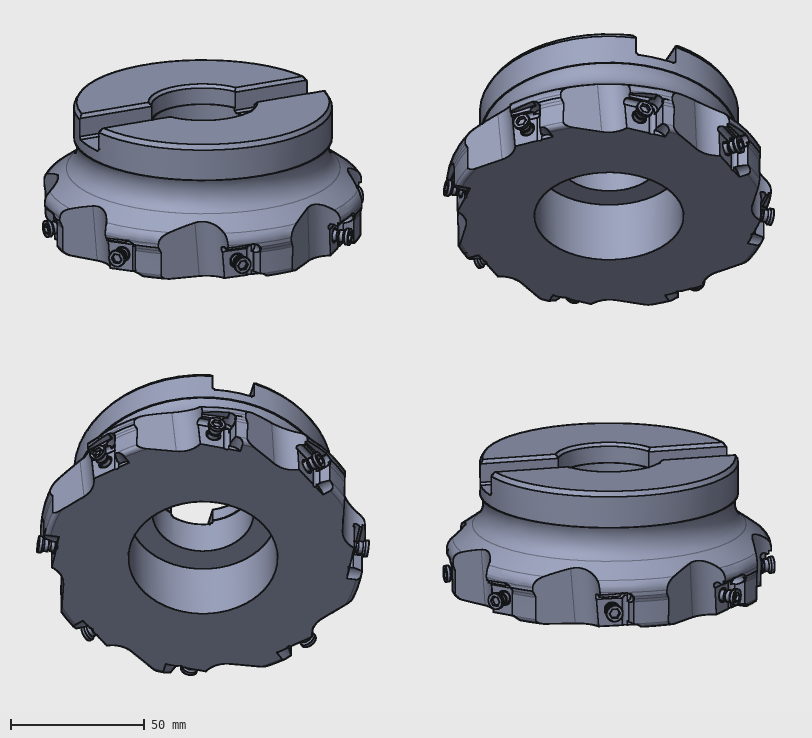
import cadquery as cq
import math

height = 50.1
hub_radius = 48.5
hub_bottom_z = 36.1
hub_rim_width = 1.1
hub_rim_drop = hub_rim_width * math.tan(math.radians(60))
neck_radius = 47.3
neck_arc_radius = 10.0
neck_z = 32.1
cone_angle = math.radians(36)
flange_radius = 60.94
shoulder_round = 5.2
flange_bottom_z = 12.9
ledge_radius = 60.6
ledge_z = 11.7
land_radius = 60.3
land_top_z = 10.5
land_bottom_round = 1.9

bore_radius = 19.05
pilot_radius = 19.3
pilot_bottom_z = 42.5
pilot_chamfer = 1.2
recess_radius = 28.0
recess_top_z = 25.4
slot_width = 16.0
slot_floor_z = 40.6
slot_rim_width = 1.1
slot_rim_drop = 1.4
slot_floor_chamfer = 0.9

half_turn_angles = [45.1, 90.1, 130.4, 176.2]
tooth_angles = [angle + turn for turn in (0, 180) for angle in half_turn_angles]

gullet_center = (59.1, -25.3)
gullet_radius = 10.0
gullet_floor_angle = math.radians(7)
gullet_reach = 18.0
gullet_lean = 4.6
gullet_lean_z = 19.0
gullet_cut_height = 60.0

pocket_floor = 55.0
pocket_start = -22.0
pocket_top_z = 12.2
pocket_outer = 66.0
wall_y = -4.0
wall_outer_y = -0.3
ceiling_relief_start = 58.1
ceiling_relief_low_z = 12.8
ceiling_relief_high_z = 14.2
groove_radius = 1.3
groove_z = 11.6
groove_y = -4.6
groove_floor = 54.6
corner_radius = 2.5
corner_y = -4.8
corner_z = 11.4
foot_radius = 4.0
foot_y = -2.5
foot_z = -2.2

screw_y = -9.6
screw_z = 6.4
screw_tip = 46.0
shank_radius = 2.1
shank_end = 56.4
neck_end = 57.3
screw_neck_radius = 1.6
collar_radius = 2.35
collar_end = 59.0
head_radius = 3.1
head_start = 59.8
head_end = 61.04
socket_radius = 2.0
socket_depth = 1.3
socket_sides = 6
sink_radius = 2.8
sink_depth = 0.7


def place_on_tooth(shape, angle):
    return shape.rotate((0, 0, 0), (0, 0, 1), angle)


def rod(radius, start, end, y, z):
    """Cylinder along the tooth frame's x direction."""
    return cq.Workplane("YZ", origin=(start, y, z)).circle(radius).extrude(end - start)


def disc(radius, bottom_z, top_z):
    return cq.Workplane("XY").workplane(offset=bottom_z).circle(radius).extrude(top_z - bottom_z)


def make_blank():
    sin_cone = math.sin(cone_angle)
    cos_cone = math.cos(cone_angle)
    neck_center_r = neck_radius + neck_arc_radius
    neck_top_r = neck_center_r - math.sqrt(neck_arc_radius**2 - (hub_bottom_z - neck_z) ** 2)
    cone_top_r = neck_center_r - neck_arc_radius * sin_cone
    cone_top_z = neck_z - neck_arc_radius * cos_cone
    round_center_r = flange_radius - shoulder_round
    cone_end_r = round_center_r + shoulder_round * sin_cone
    cone_end_z = cone_top_z - (cone_end_r - cone_top_r) * math.tan(cone_angle)
    round_center_z = cone_end_z - shoulder_round * cos_cone
    mid_angle = (math.pi / 2 - cone_angle) / 2
    round_mid = (
        round_center_r + shoulder_round * math.cos(mid_angle),
        round_center_z + shoulder_round * math.sin(mid_angle),
    )
    land_mid = land_bottom_round * (1 - math.sqrt(0.5))
    outline = (
        cq.Workplane("XZ")
        .moveTo(0, 0)
        .lineTo(0, height)
        .lineTo(hub_radius - hub_rim_width, height)
        .lineTo(hub_radius, height - hub_rim_drop)
        .lineTo(hub_radius, hub_bottom_z)
        .lineTo(neck_top_r, hub_bottom_z)
        .threePointArc((neck_radius, neck_z), (cone_top_r, cone_top_z))
        .lineTo(cone_end_r, cone_end_z)
        .threePointArc(round_mid, (flange_radius, round_center_z))
        .lineTo(flange_radius, flange_bottom_z)
        .lineTo(ledge_radius, ledge_z)
        .lineTo(land_radius, land_top_z)
        .lineTo(land_radius, land_bottom_round)
        .threePointArc((land_radius - land_mid, land_mid), (land_radius - land_bottom_round, 0))
        .close()
    )
    return outline.revolve(360, (0, 0, 0), (0, 1, 0))


def make_bore():
    chamfer_bottom_z = height - pilot_chamfer
    chamfer = (
        cq.Workplane("XY")
        .workplane(offset=chamfer_bottom_z)
        .circle(pilot_radius)
        .workplane(offset=pilot_chamfer)
        .circle(pilot_radius + pilot_chamfer)
        .loft(ruled=True)
    )
    bore = disc(bore_radius, 0, height)
    pilot = disc(pilot_radius, pilot_bottom_z, height)
    recess = disc(recess_radius, 0, recess_top_z)
    return bore.union(pilot).union(recess).union(chamfer)


def make_slot():
    half = slot_width / 2
    right_side = [
        (half - slot_floor_chamfer, slot_floor_z),
        (half, slot_floor_z + slot_floor_chamfer),
        (half, height - slot_rim_drop),
        (half + slot_rim_width, height),
    ]
    left_side = [(-x, z) for x, z in reversed(right_side)]
    outline = cq.Workplane("XZ").polyline(right_side + left_side).close()
    return outline.extrude(flange_radius, both=True)


def make_gullet():
    center_x, center_y = gullet_center
    sin_floor = math.sin(gullet_floor_angle)
    cos_floor = math.cos(gullet_floor_angle)
    floor_end = (center_x - gullet_radius * cos_floor, center_y + gullet_radius * sin_floor)
    floor_start = (floor_end[0] - gullet_reach * sin_floor, floor_end[1] - gullet_reach * cos_floor)
    arc_mid = (
        center_x - gullet_radius * math.sqrt(0.5),
        center_y + gullet_radius * math.sqrt(0.5),
    )
    arc_end = (center_x, center_y + gullet_radius)
    outer_x = center_x + gullet_reach
    prism = (
        cq.Workplane("XY")
        .workplane(offset=gullet_lean_z)
        .moveTo(*floor_start)
        .lineTo(*floor_end)
        .threePointArc(arc_mid, arc_end)
        .lineTo(outer_x, arc_end[1])
        .lineTo(outer_x, floor_start[1])
        .close()
        .extrude(gullet_cut_height / 2, both=True)
    )
    lean_start = (0, floor_end[1], gullet_lean_z)
    lean_end = (1, floor_end[1], gullet_lean_z)
    return prism.rotate(lean_start, lean_end, gullet_lean)


def make_pocket():
    seat = (
        cq.Workplane("XY")
        .moveTo(pocket_floor, pocket_start)
        .lineTo(pocket_floor, wall_y)
        .lineTo(pocket_outer, wall_outer_y)
        .lineTo(pocket_outer, pocket_start)
        .close()
        .extrude(pocket_top_z)
    )
    relief_outline = [
        (pocket_start, screw_z),
        (pocket_start, ceiling_relief_low_z),
        (corner_y, ceiling_relief_high_z),
        (corner_y, screw_z),
    ]
    relief_plane = cq.Workplane("YZ", origin=(ceiling_relief_start, 0, 0))
    relief = relief_plane.polyline(relief_outline).close().extrude(pocket_outer - ceiling_relief_start)
    groove_x = groove_floor + groove_radius
    groove_start = cq.Workplane("XZ", origin=(groove_x, corner_y, groove_z))
    groove = groove_start.circle(groove_radius).extrude(corner_y - pocket_start)
    wall_groove = disc(groove_radius, 0, groove_z).translate((groove_x, groove_y, 0))
    corner = rod(corner_radius, pocket_floor, pocket_outer, corner_y, corner_z)
    foot = rod(foot_radius, pocket_floor, pocket_outer, foot_y, foot_z)
    return seat.union(relief).union(groove).union(wall_groove).union(corner).union(foot)


def make_screw_hole():
    hole = rod(shank_radius, screw_tip, pocket_floor, screw_y, screw_z)
    sink = (
        cq.Workplane("YZ", origin=(pocket_floor - sink_depth, screw_y, screw_z))
        .circle(shank_radius)
        .workplane(offset=sink_depth)
        .circle(sink_radius)
        .loft(ruled=True)
    )
    return hole.union(sink)


def make_screw():
    outline = [
        (screw_tip, 0),
        (screw_tip, shank_radius),
        (shank_end, shank_radius),
        (shank_end, screw_neck_radius),
        (neck_end, screw_neck_radius),
        (neck_end, collar_radius),
        (collar_end, collar_radius),
        (head_start, head_radius),
        (head_end, head_radius),
        (head_end, 0),
    ]
    blank = cq.Workplane("XY").polyline(outline).close().revolve(360, (0, 0, 0), (1, 0, 0))
    socket = (
        cq.Workplane("YZ", origin=(head_end - socket_depth, 0, 0))
        .polygon(socket_sides, 2 * socket_radius)
        .extrude(socket_depth)
    )
    return blank.cut(socket).translate((0, screw_y, screw_z))


def make_body():
    body = make_blank().val()
    for tooth_cut in [make_gullet(), make_pocket(), make_screw_hole()]:
        body = body.cut(*[place_on_tooth(tooth_cut, angle).val() for angle in tooth_angles])
    return cq.Workplane(body).cut(make_bore()).cut(make_slot())


cutter_body = make_body()
screw = make_screw()
screws = [place_on_tooth(screw, angle) for angle in tooth_angles]

result = cq.Compound.makeCompound([cutter_body.solids().val(), *[copy.val() for copy in screws]])